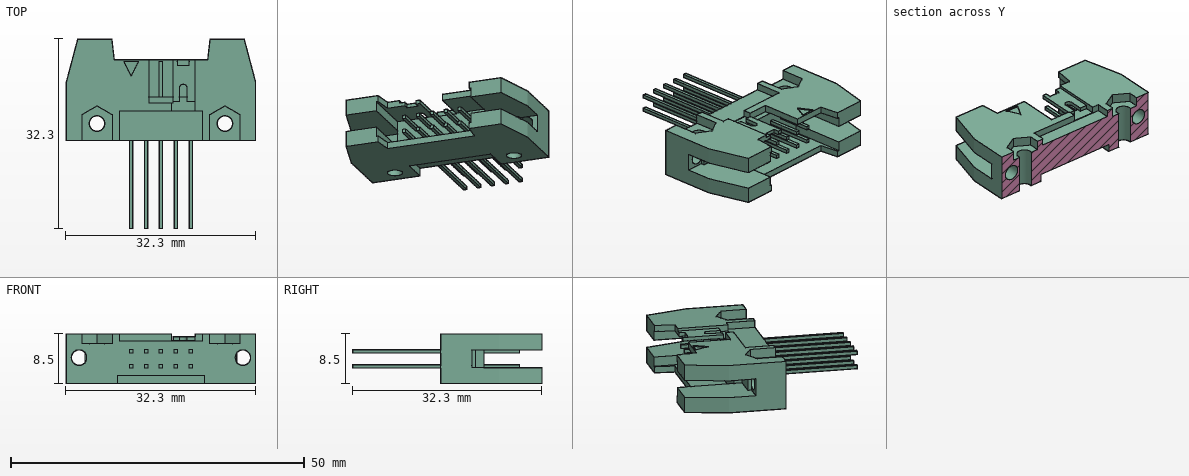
import cadquery as cq
import math

WIDTH = 32.3
HEIGHT = 8.5
ARM_END_Y = 17.3
BODY_END_Y = 13.8
OUTER_TAPER_Y = 9.95
ARM_TIP_OUTER_X = 14.2
ARM_TIP_INNER_X = 8.35
ARM_ROOT_INNER_X = 7.95
TOP_Z = HEIGHT / 2

CAVITY_WALL = 1.1
CAVITY_WIDTH = 17.3
CAVITY_FLOOR_Y = 7.4

LATCH_SLOT_HEIGHT = 3.0
LATCH_SLOT_END_Y = 5.3
LATCH_WALL_X = 12.95
LATCH_STEP_Y = 5.95

HOLE_DIAMETER = 2.6
SCREW_HOLE_X = 10.9
SCREW_HOLE_Y = 2.9
NUT_WIDTH = 5.2
NUT_POCKET_DEPTH = 1.65
END_HOLE_X = 13.95
END_HOLE_Z = 0.2

RECESS_LENGTH = 5.0
TOP_RECESS_WIDTH = 14.1
TOP_RECESS_DEPTH = 1.2
BOTTOM_RECESS_WIDTH = 14.9
BOTTOM_RECESS_DEPTH = 1.4

KEY_SLOT_WIDTH = 4.1
KEY_SLOT_END_Y = 6.4
CHANNEL_LEFT_X = 1.8
CHANNEL_RIGHT_X = 5.8
TAB_TOP_DEPTH = 0.45
TAB_FRONT_Y = 6.65
TAB_CENTER_X = 3.8
TAB_SLOT_WIDTH = 1.3
TAB_SLOT_END_Y = 9.6
TAB_NOTCH_WIDTH = 2.0
TAB_NOTCH_DEPTH = 1.0

MARK_WIDTH = 2.5
MARK_LENGTH = 2.45
MARK_DEPTH = 0.2
MARK_BASE_Y = 13.45

PIN_COLUMNS = 5
PIN_PITCH = 2.54
PIN_SIZE = 0.6
PIN_TAIL_Y = -15.0
PIN_TIP_Y = 13.45


def box(x_start, x_end, y_start, y_end, z_start, z_end):
    """Axis-aligned block between the given limits."""
    block = cq.Workplane("XY").box(x_end - x_start, y_end - y_start, z_end - z_start, centered=False)
    return block.translate((x_start, y_start, z_start))


def prism(points, z_start, z_end):
    """Closed XY outline extruded between two heights."""
    return cq.Workplane("XY").workplane(offset=z_start).polyline(points).close().extrude(z_end - z_start)


def both_sides(shape):
    """The shape together with its mirror image across X = 0."""
    return shape.union(shape.mirror("YZ"))


def housing_block():
    """Full-height block with two tapered latch arms."""
    right_half = [
        (WIDTH / 2, 0),
        (WIDTH / 2, OUTER_TAPER_Y),
        (ARM_TIP_OUTER_X, ARM_END_Y),
        (ARM_TIP_INNER_X, ARM_END_Y),
        (ARM_ROOT_INNER_X, BODY_END_Y),
    ]
    left_half = [(-x, y) for x, y in reversed(right_half)]
    return prism(right_half + left_half, -TOP_Z, TOP_Z)


def mating_cavity():
    half_height = TOP_Z - CAVITY_WALL
    half_width = CAVITY_WIDTH / 2
    return box(-half_width, half_width, CAVITY_FLOOR_Y, ARM_END_Y, -half_height, half_height)


def latch_slots():
    """Slots for the latches, open at the side walls and arm tips, stepped up to the cavity floor."""
    outline = [
        (WIDTH / 2, LATCH_SLOT_END_Y),
        (WIDTH / 2, ARM_END_Y),
        (0, ARM_END_Y),
        (0, CAVITY_FLOOR_Y),
        (CAVITY_WIDTH / 2, CAVITY_FLOOR_Y),
        (CAVITY_WIDTH / 2, LATCH_STEP_Y),
        (LATCH_WALL_X, LATCH_STEP_Y),
        (LATCH_WALL_X, LATCH_SLOT_END_Y),
    ]
    return both_sides(prism(outline, -LATCH_SLOT_HEIGHT / 2, LATCH_SLOT_HEIGHT / 2))


def screw_mounts():
    """Vertical screw holes with hexagonal nut pockets that open through the pin-side face."""
    hole = cq.Workplane("XY").center(SCREW_HOLE_X, SCREW_HOLE_Y).circle(HOLE_DIAMETER / 2).extrude(HEIGHT)
    hole = hole.translate((0, 0, -TOP_Z))
    half_width = NUT_WIDTH / 2
    corner_radius = half_width / math.cos(math.radians(30))
    shoulder_y = SCREW_HOLE_Y + corner_radius / 2
    outline = [
        (SCREW_HOLE_X - half_width, 0),
        (SCREW_HOLE_X - half_width, shoulder_y),
        (SCREW_HOLE_X, SCREW_HOLE_Y + corner_radius),
        (SCREW_HOLE_X + half_width, shoulder_y),
        (SCREW_HOLE_X + half_width, 0),
    ]
    pocket = prism(outline, TOP_Z - NUT_POCKET_DEPTH, TOP_Z)
    return both_sides(hole.union(pocket))


def end_holes():
    """Holes along Y from the pin-side face into the latch slots."""
    hole = cq.Workplane("XZ").center(END_HOLE_X, END_HOLE_Z).circle(HOLE_DIAMETER / 2)
    return both_sides(hole.extrude(-LATCH_SLOT_END_Y))


def face_recesses():
    """Shallow recesses in the top and bottom, open through the pin-side face."""
    top_half = TOP_RECESS_WIDTH / 2
    bottom_half = BOTTOM_RECESS_WIDTH / 2
    top = box(-top_half, top_half, 0, RECESS_LENGTH, TOP_Z - TOP_RECESS_DEPTH, TOP_Z)
    bottom = box(-bottom_half, bottom_half, 0, RECESS_LENGTH, -TOP_Z, -TOP_Z + BOTTOM_RECESS_DEPTH)
    return top.union(bottom)


def key_slot():
    half_width = KEY_SLOT_WIDTH / 2
    return box(-half_width, half_width, KEY_SLOT_END_Y, BODY_END_Y, TOP_Z - TOP_RECESS_DEPTH, TOP_Z)


def spring_tab_cuts():
    """Channel in the top wall that leaves a thin, slotted and notched tab over the cavity."""
    wall_bottom_z = TOP_Z - CAVITY_WALL
    above_tab = box(CHANNEL_LEFT_X, CHANNEL_RIGHT_X, TAB_FRONT_Y, BODY_END_Y, TOP_Z - TAB_TOP_DEPTH, TOP_Z)
    before_tab = box(CHANNEL_LEFT_X, CHANNEL_RIGHT_X, RECESS_LENGTH, TAB_FRONT_Y, wall_bottom_z, TOP_Z)
    slot_radius = TAB_SLOT_WIDTH / 2
    slot_straight_y = TAB_SLOT_END_Y - slot_radius
    slot = (
        cq.Workplane("XY")
        .workplane(offset=wall_bottom_z)
        .moveTo(TAB_CENTER_X - slot_radius, TAB_FRONT_Y)
        .lineTo(TAB_CENTER_X + slot_radius, TAB_FRONT_Y)
        .lineTo(TAB_CENTER_X + slot_radius, slot_straight_y)
        .threePointArc((TAB_CENTER_X, TAB_SLOT_END_Y), (TAB_CENTER_X - slot_radius, slot_straight_y))
        .close()
        .extrude(CAVITY_WALL)
    )
    notch_half = TAB_NOTCH_WIDTH / 2
    notch_start_y = BODY_END_Y - TAB_NOTCH_DEPTH
    notch = box(
        TAB_CENTER_X - notch_half, TAB_CENTER_X + notch_half, notch_start_y, BODY_END_Y, wall_bottom_z, TOP_Z
    )
    return above_tab.union(before_tab).union(slot).union(notch)


def pin_x(column):
    return (column - (PIN_COLUMNS - 1) / 2) * PIN_PITCH


def pin_one_mark():
    """Engraved triangle in line with the first pin column."""
    center_x = pin_x(0)
    outline = [
        (center_x - MARK_WIDTH / 2, MARK_BASE_Y),
        (center_x + MARK_WIDTH / 2, MARK_BASE_Y),
        (center_x, MARK_BASE_Y - MARK_LENGTH),
    ]
    return prism(outline, TOP_Z - MARK_DEPTH, TOP_Z)


def pin(center_x, center_z):
    half = PIN_SIZE / 2
    return box(center_x - half, center_x + half, PIN_TAIL_Y, PIN_TIP_Y, center_z - half, center_z + half)


result = housing_block()
cuts = [
    mating_cavity(),
    latch_slots(),
    screw_mounts(),
    end_holes(),
    face_recesses(),
    key_slot(),
    spring_tab_cuts(),
    pin_one_mark(),
]
for cut in cuts:
    result = result.cut(cut)

for column in range(PIN_COLUMNS):
    for row_z in (-PIN_PITCH / 2, PIN_PITCH / 2):
        result = result.union(pin(pin_x(column), row_z))